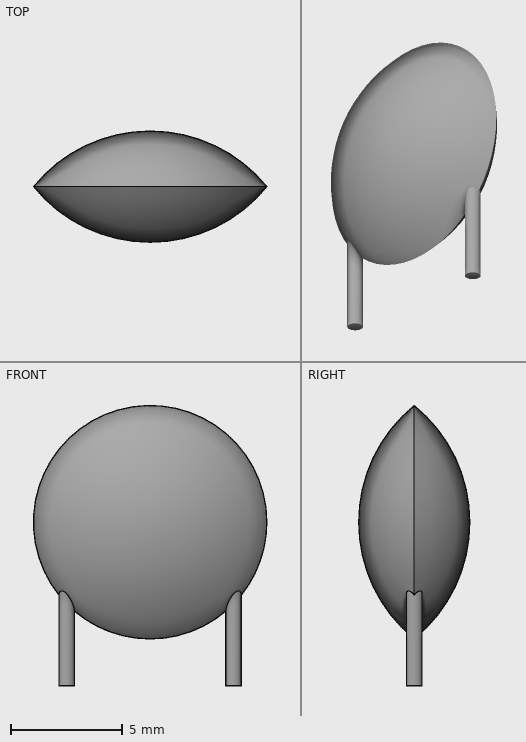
import cadquery as cq

overall_height = 12.6
body_diameter = 10.5
body_thickness = 5.0
body_radius = body_diameter / 2
cap_height = body_thickness / 2
cap_sphere_radius = (body_radius**2 + cap_height**2) / (2 * cap_height)
body_center_z = overall_height - body_radius

lead_diameter = 0.7
lead_spacing = 7.5
lead_straight = 4.06
bend_radius = 0.7


def make_body():
    """Revolve half of the lens section about the Y axis."""
    return (
        cq.Workplane("XY")
        .moveTo(0, -cap_height)
        .lineTo(0, cap_height)
        .radiusArc((body_radius, 0), cap_sphere_radius)
        .radiusArc((0, -cap_height), cap_sphere_radius)
        .close()
        .revolve(360, (0, 0), (0, 1))
        .translate((0, 0, body_center_z))
    )


def make_lead(side):
    """Make one lead: a straight leg and a quarter bend turning inwards into the body."""
    x = side * lead_spacing / 2
    straight = cq.Workplane("XY").center(x, 0).circle(lead_diameter / 2).extrude(lead_straight)
    bend = (
        straight.faces(">Z")
        .workplane(centerOption="CenterOfMass")
        .circle(lead_diameter / 2)
        .revolve(90, (-side * bend_radius, 0), (-side * bend_radius, -side), combine=False)
    )
    return straight.union(bend)


result = make_body()
for side in (-1, 1):
    result = result.union(make_lead(side))